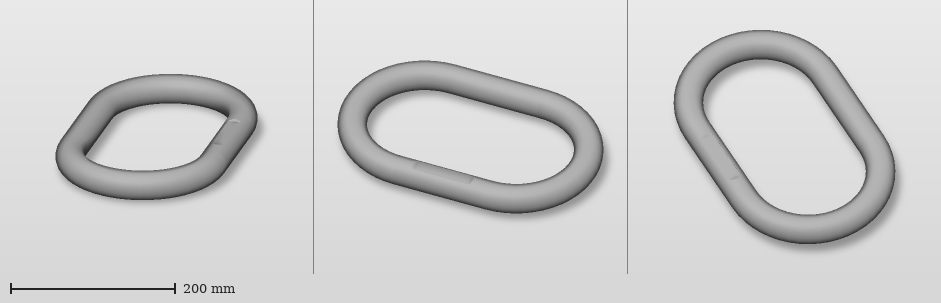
import cadquery as cq

overall_length = 332.0
bar_diameter = 36.0
overall_width = 212.0

recess_width = 15.5
recess_length = 79.7
recess_depth = 2.0
end_slope_run = 4.0

bar_radius = bar_diameter / 2
bend_radius = (overall_width - bar_diameter) / 2
straight_length = overall_length - overall_width
half_straight = straight_length / 2


def make_link():
    """Sweep the round bar along the closed racetrack centreline."""
    centreline = (
        cq.Workplane("XY")
        .moveTo(bend_radius, 0)
        .lineTo(bend_radius, half_straight)
        .threePointArc((0, half_straight + bend_radius), (-bend_radius, half_straight))
        .lineTo(-bend_radius, -half_straight)
        .threePointArc((0, -half_straight - bend_radius), (bend_radius, -half_straight))
        .close()
    )
    return cq.Workplane("XZ").center(bend_radius, 0).circle(bar_radius).sweep(centreline)


def make_recess_cutter():
    """Flat-bottomed cutter whose two end walls slope outwards to the top of the bar."""
    half_length = recess_length / 2
    half_floor = half_length - end_slope_run
    floor_height = bar_radius - recess_depth
    return (
        cq.Workplane("YZ", origin=(bend_radius, 0, 0))
        .moveTo(-half_floor, floor_height)
        .lineTo(half_floor, floor_height)
        .lineTo(half_length, bar_radius)
        .lineTo(-half_length, bar_radius)
        .close()
        .extrude(recess_width / 2, both=True)
    )


result = make_link().cut(make_recess_cutter())